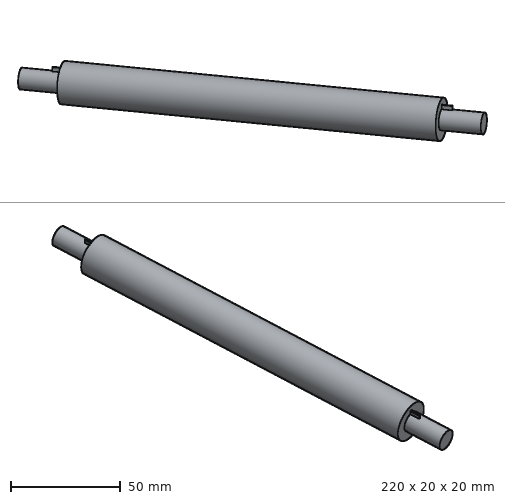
import cadquery as cq

total_length = 220.0
journal_length = 20.0
body_diameter = 20.0
journal_diameter = 10.1
key_length = 5.0
key_width = 1.0
key_top = 7.0

body_length = total_length - 2 * journal_length


def centred_cylinder(diameter, length):
    """Cylinder along X, centred on the origin."""
    start_plane = cq.Workplane("YZ", origin=(-length / 2, 0, 0))
    return start_plane.circle(diameter / 2).extrude(length)


shaft = centred_cylinder(journal_diameter, total_length)
body = centred_cylinder(body_diameter, body_length)

key_bar = cq.Workplane("XY").box(
    body_length + 2 * key_length, key_width, key_top, centered=(True, True, False)
)

result = body.union(shaft).union(key_bar)